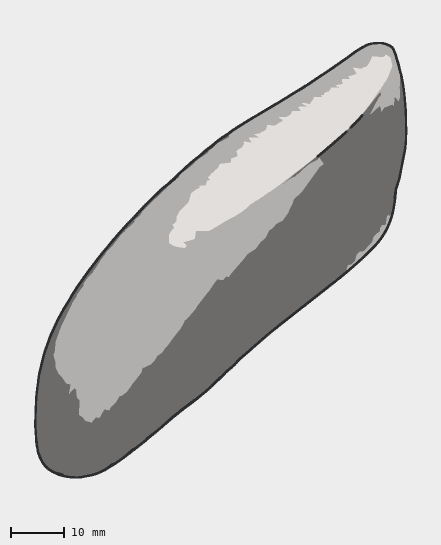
import cadquery as cq
import math

LENGTH = 100.6

SECTIONS = [
    ((-7.4, -11.1), (-4.0, -5.0), (2.2, -11.1), (-4.0, -17.4)),
    ((-10.5, -9.1), (-3.7, 2.8), (4.7, -10.1), (-4.0, -21.8)),
    ((-13.2, -6.0), (-3.0, 9.7), (6.6, -9.1), (-4.0, -26.0)),
    ((-14.5, -3.0), (-2.0, 15.1), (8.1, -6.0), (-4.0, -28.1)),
    ((-14.5, 0.0), (-0.5, 19.8), (10.0, -2.0), (-2.5, -27.8)),
    ((-13.7, 5.0), (4.0, 23.7), (12.7, 9.1), (1.5, -25.2)),
    ((-12.4, 8.0), (9.1, 26.8), (14.3, 16.1), (5.6, -19.3)),
    ((-10.4, 11.1), (12.3, 28.2), (14.3, 14.1), (10.3, -14.2)),
    ((-7.5, 12.1), (13.3, 28.3), (14.3, 9.1), (12.8, -12.3)),
    ((-5.4, 12.1), (11.7, 27.1), (14.2, 7.0), (13.3, -11.5)),
    ((-3.9, 12.6), (9.1, 25.3), (13.1, 6.0), (10.6, -9.1)),
    ((-3.2, 13.1), (5.4, 22.4), (9.2, 7.0), (6.0, -2.4)),
    ((-1.6, 13.6), (3.0, 19.3), (4.9, 10.1), (3.0, 5.5)),
]
NOSE_TIP = (-3.8, -11.5)
TAIL_TIP = (0.6, 14.1)

TOP_RIGHT_FULLNESS = 2.4
NOSE_TOP_LEFT_FULLNESS = 2.9
TAIL_TOP_LEFT_FULLNESS = 2.0
BOTTOM_LEFT_FULLNESS = 2.3
BOTTOM_RIGHT_FULLNESS = 1.6
STEPS_PER_QUARTER = 4

SKIN_DEGREE = 2


def station(index):
    """Y of a station; equal turns of a half circle crowd the stations toward the rounded tips."""
    return -LENGTH / 2 * math.cos(math.pi * index / (len(SECTIONS) + 1))


def quarter(side, crown, fullness):
    """Points from a side extreme to a top or bottom extreme, both included."""
    points = []
    for step in range(STEPS_PER_QUARTER + 1):
        angle = math.pi / 2 * step / STEPS_PER_QUARTER
        across = abs(math.cos(angle)) ** (2 / fullness)
        upward = abs(math.sin(angle)) ** (2 / fullness)
        x = crown[0] + (side[0] - crown[0]) * across
        z = side[1] + (crown[1] - side[1]) * upward
        points.append((x, z))
    return points


def top_left_fullness(y):
    """The upper left shoulder softens evenly from the nose to the tail."""
    toward_tail = y / LENGTH + 0.5
    return NOSE_TOP_LEFT_FULLNESS + (TAIL_TOP_LEFT_FULLNESS - NOSE_TOP_LEFT_FULLNESS) * toward_tail


def section_wire(y, left, top, right, bottom):
    """Closed smooth outline, counter-clockwise from the right extreme."""
    outline = quarter(right, top, TOP_RIGHT_FULLNESS)[:-1]
    outline += quarter(left, top, top_left_fullness(y))[:0:-1]
    outline += quarter(left, bottom, BOTTOM_LEFT_FULLNESS)[:-1]
    outline += quarter(right, bottom, BOTTOM_RIGHT_FULLNESS)[:0:-1]
    points = [cq.Vector(x, y, z) for x, z in outline]
    even_parameters = [index / len(points) for index in range(len(points) + 1)]
    return cq.Wire.assembleEdges([cq.Edge.makeSpline(points, periodic=True, parameters=even_parameters)])


def tip(y, point):
    """Point (x, z) that closes the body at an end."""
    return cq.Vertex.makeVertex(point[0], y, point[1])


wires = [section_wire(station(index), *extremes) for index, extremes in enumerate(SECTIONS, start=1)]
nose = tip(-LENGTH / 2, NOSE_TIP)
tail = tip(LENGTH / 2, TAIL_TIP)
body = cq.occ_impl.shapes.loft(nose, *wires, tail, cap=True, degree=SKIN_DEGREE)
result = cq.Workplane("XY").newObject([body])